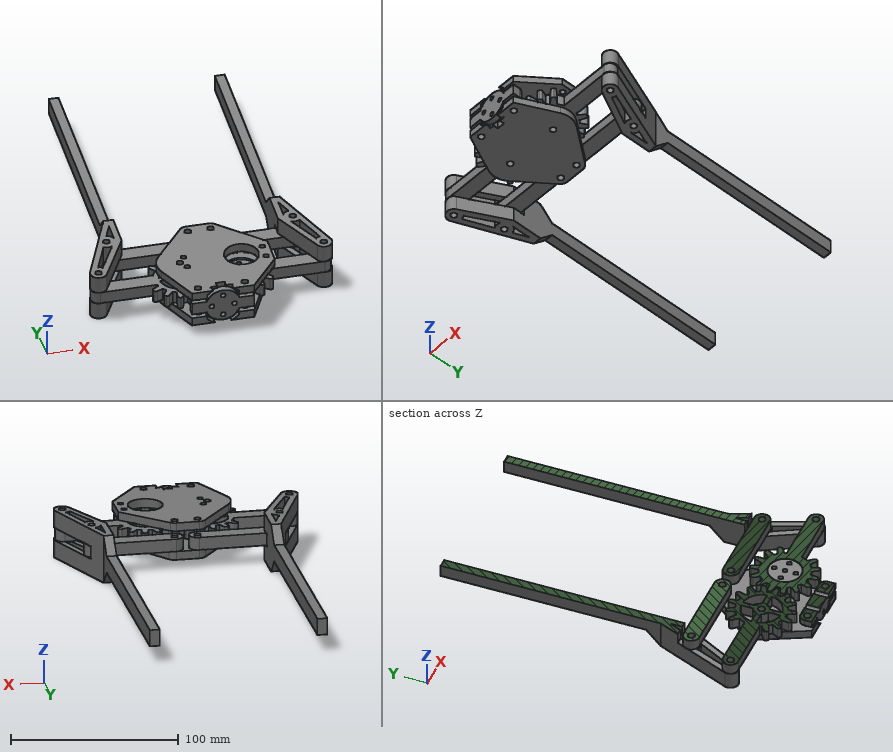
import cadquery as cq
import math


GEAR_X = 19.0
GEAR_Y = 32.5
UPPER_X = 7.0
UPPER_Y = 62.3
LINK = 50.0
LINK_THICK = 7.9
LOWER_ARM_R = 5.0
UPPER_ARM_R = 5.2
BOLT_D = 4.0
SCREW_D = 3.0
FINGER_LOWER = (GEAR_X + LINK, GEAR_Y)
FINGER_UPPER = (UPPER_X + LINK, UPPER_Y)

TEETH = 15
ROOT_R = 16.0
TIP_R = 21.4
TOOTH_ROOT_W = 4.3
TOOTH_TIP_W = 3.0
TOOTH_ROUND = 1.4
TOOTH_SUNK = 2.3
TOOTH_PITCH = 360 / TEETH
TOOTH_ANGLE = 17.7
ARM_CLEAR_ANGLE = 25
HORN_D = 21.0
HORN_DEPTH = 1.4
HORN_HOLE_R = 7.0
HUB_R = 5.2
RIM_INNER_R = 12.5
SPOKE_W = 3.4

FINGER_H = 30.0
FINGER_END_R = 5.2
FINGER_TIP_Y = 225
BAR_INNER_X = 47.7
BAR_OUTER_X = 53.8
BAR_H = 10.4
HEAD_Y = 83.3
TAPER_Y = 92.7
ELBOW_Y = 61.7
SLOT_Y = 70.2
WALL = 4.0
BOSS_R = 5.9
RIGHT_FINGER_SHIFT = 0.56

PLATE_FRONT_HALF = 19.1
PLATE_GEAR_R = 14.2
PLATE_TOP_R = 5.2
FRONT_BOLT_X = 14.5
FRONT_BOLT_Y = 4.7
BOTTOM_THICK = 5.5
TOP_THICK = 5.2
TOP_Z = 9
SERVO_EDGE_X = 37.1
SERVO_EDGE_Y = (23.2, 41.6)
SERVO_SCREW_X = (-15.5, 32.9)
SERVO_SCREW_D = 3.4
SERVO_SCREW_DY = 5.0
PAD_THICK = 0.5
PAD_D = 24.0

BLOCK_HALF = 19.1
BLOCK_DEPTH = 9
BLOCK_H = 7.9
BLOCK_ROUND = 4.3
DISC_D = 21.5
DISC_THICK = 4.0
DISC_Z = 2.7
DISC_HOLE_R = 7.0
CLEAR_R = 13.0
CLEAR_W = 19.5
NOTCH_W = 5.5
NOTCH_DEPTH = 7.5


def belt(circles):
    """Closed outline pulled tight round (x, y, radius) circles listed counter-clockwise; radius 0 is a corner."""
    count = len(circles)
    normals = []
    for i, (x, y, r) in enumerate(circles):
        next_x, next_y, next_r = circles[(i + 1) % count]
        heading = math.atan2(next_y - y, next_x - x)
        distance = math.hypot(next_x - x, next_y - y)
        normals.append(heading - math.acos((r - next_r) / distance))

    def on_circle(i, angle):
        x, y, r = circles[i]
        return x + r * math.cos(angle), y + r * math.sin(angle)

    outline = cq.Workplane("XY").moveTo(*on_circle(0, normals[0]))
    for i in range(1, count + 1):
        k = i % count
        arrive = normals[i - 1]
        turn = (normals[k] - arrive) % (2 * math.pi)
        outline = outline.lineTo(*on_circle(k, arrive))
        if circles[k][2] > 0:
            outline = outline.threePointArc(on_circle(k, arrive + turn / 2), on_circle(k, arrive + turn))
    return outline.close()


def slab(outline, bottom, height):
    return outline.extrude(height).translate((0, 0, bottom))


def rod(x, y, diameter, bottom=-FINGER_H, height=2 * FINGER_H):
    """Upright rod; without a bottom and height it passes through every body."""
    return cq.Workplane("XY").center(x, y).circle(diameter / 2).extrude(height).translate((0, 0, bottom))


def rod_along_y(radius, length):
    """Rod on the disc axis, from the front edge backwards."""
    return cq.Workplane("XZ").circle(radius).extrude(-length).translate((0, 0, DISC_Z))


def mirrored(body):
    return body.mirror("YZ")


def make_arm(x, y, radius):
    ends = [(x, y, radius), (x + LINK, y, radius)]
    arm = slab(belt(ends), -LINK_THICK / 2, LINK_THICK)
    return arm.cut(rod(x + LINK, y, BOLT_D))


def make_upper_arm():
    return make_arm(UPPER_X, UPPER_Y, UPPER_ARM_R).cut(rod(UPPER_X, UPPER_Y, BOLT_D))


def make_gear(first_angle):
    """Gear with the teeth left out where the arm leaves it; the arm points along +X, angle 0."""
    gear = rod(GEAR_X, GEAR_Y, 2 * ROOT_R, -LINK_THICK / 2, LINK_THICK)
    tooth = (
        cq.Workplane("XY")
        .polyline([
            (ROOT_R - TOOTH_SUNK, -TOOTH_ROOT_W / 2),
            (ROOT_R, -TOOTH_ROOT_W / 2),
            (TIP_R, -TOOTH_TIP_W / 2),
            (TIP_R, TOOTH_TIP_W / 2),
            (ROOT_R, TOOTH_ROOT_W / 2),
            (ROOT_R - TOOTH_SUNK, TOOTH_ROOT_W / 2),
        ])
        .close()
        .extrude(LINK_THICK)
        .translate((0, 0, -LINK_THICK / 2))
        .edges("|Z and >X")
        .fillet(TOOTH_ROUND)
    )
    for i in range(TEETH):
        angle = (first_angle + i * TOOTH_PITCH) % 360
        if ARM_CLEAR_ANGLE < angle < 360 - ARM_CLEAR_ANGLE:
            turned = tooth.rotate((0, 0, 0), (0, 0, 1), angle)
            gear = gear.union(turned.translate((GEAR_X, GEAR_Y, 0)))
    return gear


def make_geared_arm(first_angle):
    return make_gear(first_angle).union(make_arm(GEAR_X, GEAR_Y, LOWER_ARM_R))


def make_driver_arm():
    """Arm whose gear takes the servo horn in a shallow recess."""
    arm = make_geared_arm(180 - TOOTH_ANGLE + TOOTH_PITCH / 2)
    arm = arm.cut(rod(GEAR_X, GEAR_Y, HORN_D, LINK_THICK / 2 - HORN_DEPTH, HORN_DEPTH))
    arm = arm.cut(rod(GEAR_X, GEAR_Y, SCREW_D))
    for angle in range(0, 360, 90):
        dx = HORN_HOLE_R * math.cos(math.radians(angle))
        dy = HORN_HOLE_R * math.sin(math.radians(angle))
        arm = arm.cut(rod(GEAR_X + dx, GEAR_Y + dy, SCREW_D))
    return arm


def make_idler_arm():
    """Arm whose gear is lightened to a hub, four spokes and a rim."""
    windows = rod(GEAR_X, GEAR_Y, 2 * RIM_INNER_R).cut(rod(GEAR_X, GEAR_Y, 2 * HUB_R))
    spoke = cq.Workplane("XY").box(2 * ROOT_R, SPOKE_W, 2 * FINGER_H)
    for angle in (0, 90):
        turned = spoke.rotate((0, 0, 0), (0, 0, 1), angle)
        windows = windows.cut(turned.translate((GEAR_X, GEAR_Y, 0)))
    arm = make_geared_arm(180 - TOOTH_ANGLE)
    return mirrored(arm.cut(windows).cut(rod(GEAR_X, GEAR_Y, BOLT_D)))


def make_finger():
    lower_x, lower_y = FINGER_LOWER
    head = [
        (lower_x, lower_y, FINGER_END_R),
        (BAR_OUTER_X, HEAD_Y, 0),
        (BAR_INNER_X, HEAD_Y, 0),
        (BAR_INNER_X, ELBOW_Y, 0),
    ]
    finger = slab(belt(head), -FINGER_H / 2, FINGER_H)
    bar_side = [
        (HEAD_Y, -FINGER_H / 2),
        (TAPER_Y, -BAR_H / 2),
        (FINGER_TIP_Y, -BAR_H / 2),
        (FINGER_TIP_Y, BAR_H / 2),
        (TAPER_Y, BAR_H / 2),
        (HEAD_Y, FINGER_H / 2),
    ]
    bar = cq.Workplane("YZ").polyline(bar_side).close().extrude(BAR_OUTER_X - BAR_INNER_X)
    finger = finger.union(bar.translate((BAR_INNER_X, 0, 0)))

    pockets = slab(belt(head).offset2D(-WALL), -FINGER_H, 2 * FINGER_H)
    for x, y in (FINGER_LOWER, FINGER_UPPER):
        pockets = pockets.cut(rod(x, y, 2 * BOSS_R))
        finger = finger.cut(rod(x, y, BOLT_D))
    slot = cq.Workplane("XY").box(FINGER_TIP_Y, SLOT_Y, LINK_THICK).translate((0, SLOT_Y / 2, 0))
    return finger.cut(pockets).cut(slot)


def cut_plate_bolts(plate):
    for side in (-1, 1):
        plate = plate.cut(rod(side * UPPER_X, UPPER_Y, BOLT_D))
        plate = plate.cut(rod(side * FRONT_BOLT_X, FRONT_BOLT_Y, BOLT_D))
    return plate


def disc_clearance():
    """Round clearance with flattened sides, and a narrower notch behind it."""
    clearance = rod_along_y(CLEAR_R, DISC_THICK)
    width_limit = cq.Workplane("XY").box(CLEAR_W, 2 * DISC_THICK, 4 * CLEAR_R)
    notch = cq.Workplane("XY").box(NOTCH_W, 2 * NOTCH_DEPTH, 4 * CLEAR_R)
    return clearance.intersect(width_limit).union(notch)


def make_bottom_plate():
    outline = belt([
        (-PLATE_FRONT_HALF, 0, 0),
        (PLATE_FRONT_HALF, 0, 0),
        (GEAR_X, GEAR_Y, PLATE_GEAR_R),
        (UPPER_X, UPPER_Y, PLATE_TOP_R),
        (-UPPER_X, UPPER_Y, PLATE_TOP_R),
        (-GEAR_X, GEAR_Y, PLATE_GEAR_R),
    ])
    plate = slab(outline, -LINK_THICK / 2 - BOTTOM_THICK, BOTTOM_THICK)
    for side in (-1, 1):
        plate = plate.cut(rod(side * GEAR_X, GEAR_Y, BOLT_D))
    return cut_plate_bolts(plate).cut(disc_clearance())


def make_top_plate():
    outline = belt([
        (-PLATE_FRONT_HALF, 0, 0),
        (PLATE_FRONT_HALF, 0, 0),
        (SERVO_EDGE_X, SERVO_EDGE_Y[0], 0),
        (SERVO_EDGE_X, SERVO_EDGE_Y[1], 0),
        (UPPER_X, UPPER_Y, PLATE_TOP_R),
        (-UPPER_X, UPPER_Y, PLATE_TOP_R),
        (-GEAR_X, GEAR_Y, PLATE_GEAR_R),
    ])
    plate = slab(outline, TOP_Z, TOP_THICK)
    plate = plate.union(rod(GEAR_X, GEAR_Y, PAD_D, TOP_Z - PAD_THICK, PAD_THICK))
    plate = plate.union(rod(-GEAR_X, GEAR_Y, 2 * HUB_R, TOP_Z - PAD_THICK, PAD_THICK))
    plate = plate.cut(rod(GEAR_X, GEAR_Y, HORN_D)).cut(rod(-GEAR_X, GEAR_Y, BOLT_D))
    for x in SERVO_SCREW_X:
        for side in (-1, 1):
            plate = plate.cut(rod(x, GEAR_Y + side * SERVO_SCREW_DY, SERVO_SCREW_D))
    return cut_plate_bolts(plate).cut(disc_clearance())


def make_wrist_block():
    bar = cq.Workplane("XZ").rect(2 * BLOCK_HALF, BLOCK_H).extrude(-BLOCK_DEPTH)
    bar = bar.edges("|Z and >Y").fillet(BLOCK_ROUND).translate((0, 0, DISC_Z))
    block = bar.union(rod_along_y(DISC_D / 2, DISC_THICK))
    holes = cq.Workplane("XZ").polarArray(DISC_HOLE_R, 0, 360, 4).circle(SCREW_D / 2).extrude(-BLOCK_DEPTH)
    block = block.cut(holes.translate((0, 0, DISC_Z)))
    for side in (-1, 1):
        block = block.cut(rod(side * FRONT_BOLT_X, FRONT_BOLT_Y, BOLT_D))
    return block


finger = make_finger()
right_finger = finger.translate((RIGHT_FINGER_SHIFT, 0, 0))
upper_arm = make_upper_arm()
driver_arm = make_driver_arm()
idler_arm = make_idler_arm()
bottom_plate = make_bottom_plate()
top_plate = make_top_plate()
wrist_block = make_wrist_block()

result = cq.Compound.makeCompound([
    right_finger.val(),
    mirrored(finger).val(),
    upper_arm.val(),
    mirrored(upper_arm).val(),
    driver_arm.val(),
    idler_arm.val(),
    bottom_plate.val(),
    top_plate.val(),
    wrist_block.val(),
])